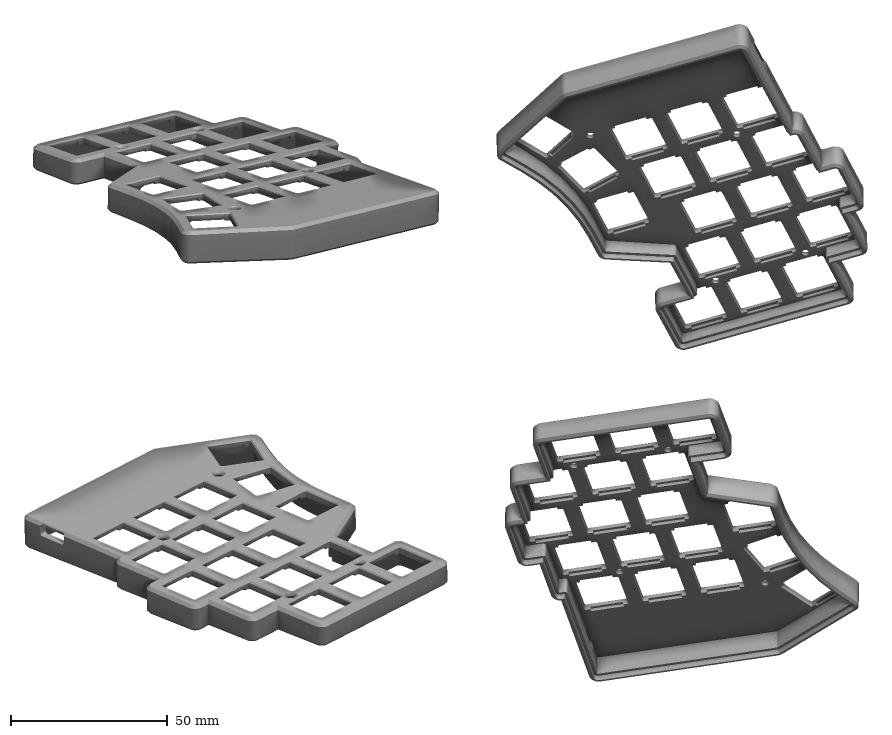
import cadquery as cq
import math

key_pitch = 19.05
key_margin = 11.4
opening_size = 14.3
opening_corner_radius = 0.5
opening_chamfer = 0.4
clip_plate_thickness = 1.5
clip_notch_length = 10.8
clip_notch_depth = 1.0
plate_thickness = 2.5
height_at_origin = 9.62
tilt_angle = 1.5
seam_level = -1.35
corner_radius = 3.0
core_margin = key_margin - corner_radius
top_chamfer = 1.0
bottom_chamfer = 0.8
wall_thickness = 2.5
cavity_corner_radius = 1.0
rim_thickness = 1.5
rim_depth = 1.9

first_column_x = -49.6
column_middle_y = [2.1, 14.1, 20.2, 13.7, 11.15]
columns = [(first_column_x + i * key_pitch, y) for i, y in enumerate(column_middle_y)]

thumb_keys = [(-1.7, -25.05, 0), (19.43, -27.85, -15), (39.0, -35.9, -30)]

right_wall_x = 61.03
palm_corner_x = -20.7
thumb_corner_x = -11.0

screw_points = [(-39.3, 23.6), (-40.4, -7.5), (17.2, 22.0), (33.5, -21.8)]
screw_diameter = 2.4
screw_head_diameter = 4.4
screw_head_angle = 90

port_x = 47.4
port_width = 10.2
port_height = 4.0
port_corner_radius = 1.0
port_top_depth = 0.35

overshoot = 1.0
rise = 20.0
block_size = 300.0


def thumb_front_point(key):
    """Core point straight in front of a thumb key."""
    x, y, angle = key
    turn = math.radians(angle)
    return (x + core_margin * math.sin(turn), y - core_margin * math.cos(turn))


def core_outline():
    """Sharp-cornered outline, one corner radius inside the outer wall."""
    row_reach = key_pitch + core_margin
    back = [y + row_reach for _, y in columns]
    front = [y - row_reach for _, y in columns]
    left = [x - core_margin for x, _ in columns]
    right = [x + core_margin for x, _ in columns]

    first_thumb, _, last_thumb = thumb_keys
    arc_start = thumb_front_point(first_thumb)
    arc_end = thumb_front_point(last_thumb)
    thumb_turn = math.radians(last_thumb[2])
    outer_corner = (
        arc_end[0] + core_margin * math.cos(thumb_turn),
        arc_end[1] + core_margin * math.sin(thumb_turn),
    )
    side_x = right_wall_x - corner_radius
    side_rise = (side_x - outer_corner[0]) / math.tan(-thumb_turn)

    return (
        cq.Workplane("XY")
        .moveTo(left[0], front[0])
        .lineTo(right[0], front[0])
        .lineTo(right[0], front[1])
        .lineTo(palm_corner_x, front[1])
        .lineTo(thumb_corner_x, arc_start[1])
        .lineTo(*arc_start)
        .tangentArcPoint(arc_end, relative=False)
        .lineTo(*outer_corner)
        .lineTo(side_x, outer_corner[1] + side_rise)
        .lineTo(side_x, back[4])
        .lineTo(right[3], back[4])
        .lineTo(right[3], back[3])
        .lineTo(right[2], back[3])
        .lineTo(right[2], back[2])
        .lineTo(left[2], back[2])
        .lineTo(left[2], back[1])
        .lineTo(left[1], back[1])
        .lineTo(left[1], back[0])
        .lineTo(left[0], back[0])
        .close()
    )


def prism(inset, bottom, top, inward_radius=0):
    """Upright prism on the outer outline pulled inwards by inset.

    Outward corners come out round; inward corners are sharp unless inward_radius is given.
    """
    section = core_outline().offset2D(corner_radius - inset + inward_radius, "arc")
    if inward_radius:
        section = section.offset2D(-inward_radius, "arc")
    return section.extrude(top - bottom).translate((0, 0, bottom))


def tilt(body):
    """Turn a body so that its level underside gets the slope of the case."""
    return body.rotate((0, 0, 0), (0, 1, 0), tilt_angle)


def below(z):
    """Block larger than the case that fills everything under height z."""
    return cq.Workplane("XY").box(block_size, block_size, block_size).translate((0, 0, z - block_size / 2))


def shell():
    """Hollow case without openings: sloped underside, level top, recess for the bottom cover."""
    floor = -height_at_origin
    lower = tilt(prism(0, floor, seam_level).faces("<Z").chamfer(bottom_chamfer))
    seam_face = lower.faces(">Z").val()
    upper = cq.Solid.extrudeLinear(seam_face, cq.Vector(0, 0, rise))
    outside = lower.union(upper).intersect(below(0)).faces(">Z").chamfer(top_chamfer)

    cavity = tilt(prism(wall_thickness, floor - overshoot, rise, cavity_corner_radius))
    cavity = cavity.intersect(below(-plate_thickness))
    recess = tilt(prism(rim_thickness, floor - overshoot, floor + rim_depth))
    return outside.cut(cavity).cut(recess)


def opening_section(z):
    """Rounded square of a switch opening at height z."""
    return (
        cq.Workplane("XY", origin=(0, 0, z))
        .sketch()
        .rect(opening_size, opening_size)
        .vertices()
        .fillet(opening_corner_radius)
        .finalize()
    )


def key_opening(x, y, angle=0):
    """Cutter for one switch: square hole, flared top edge and two clip notches under the plate."""
    depth = plate_thickness + overshoot
    hole = opening_section(0).extrude(-depth)
    flare = opening_section(-opening_chamfer).extrude(opening_chamfer, taper=-45)
    clip_notches = (
        cq.Workplane("XY", origin=(0, 0, -clip_plate_thickness))
        .rect(opening_size + 2 * clip_notch_depth, clip_notch_length)
        .extrude(clip_plate_thickness - depth)
    )
    cutter = hole.union(flare).union(clip_notches)
    return cutter.rotate((0, 0, 0), (0, 0, 1), angle).translate((x, y, 0))


def port():
    """Cutter for the connector opening through the back wall behind the last column."""
    wall_y = columns[-1][1] + key_pitch + key_margin
    return (
        cq.Workplane("XZ", origin=(port_x, wall_y + overshoot, -port_top_depth - port_height / 2))
        .rect(port_width, port_height)
        .extrude(overshoot + wall_thickness)
        .edges("|Y")
        .fillet(port_corner_radius)
    )


result = shell()
for column_x, middle_y in columns:
    for row in (-1, 0, 1):
        result = result.cut(key_opening(column_x, middle_y + row * key_pitch))
for thumb_key in thumb_keys:
    result = result.cut(key_opening(*thumb_key))
result = (
    result.cut(port())
    .copyWorkplane(cq.Workplane("XY"))
    .pushPoints(screw_points)
    .cskHole(screw_diameter, screw_head_diameter, screw_head_angle, plate_thickness + overshoot)
)